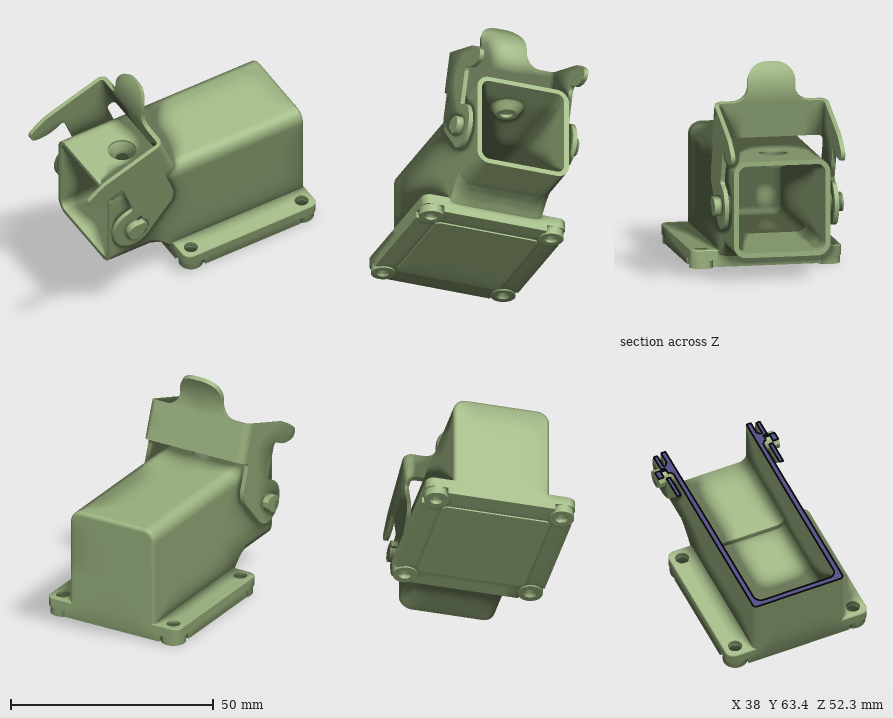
import cadquery as cq
import math

FLANGE_SIDE = 38.0
FLANGE_TOP = 4.7
FLANGE_CORNER_RADIUS = 2.1
FLANGE_EDGE_CHAMFER = 0.2
HOLE_OFFSET = 15.9
HOLE_DIAMETER = 3.2
COUNTERBORE_DIAMETER = 3.5
COUNTERBORE_DEPTH = 1.25
PAD_RADIUS = FLANGE_SIDE / 2 - HOLE_OFFSET
PAD_HEIGHT = 2.0
RIM_SIDE = 27.25
RIM_HEIGHT = 0.4
RIM_CORNER_RADIUS = 1.25

BODY_WIDTH = 24.35
BODY_TOP = 30.0
BODY_RADIUS = 3.25
BODY_BACK = FLANGE_SIDE / 2
BACK_EDGE_RADIUS = 1.0
SNOUT_FRONT = -37.1
SNOUT_BOTTOM = 5.9
THROAT_FRONT = -25.0
THROAT_BACK = -FLANGE_SIDE / 2
THROAT_DROP = 2.85
THROAT_END_CORNER = 0.75
THROAT_STATIONS = 4
THROAT_OVERLAP = 0.65

MOUTH_WIDTH = 21.8
MOUTH_TOP = 28.85
MOUTH_BOTTOM = 7.1
MOUTH_RADIUS = 2.0
MOUTH_DRAFT_HEIGHT = 0.45
MOUTH_DRAFT_WIDTH = 0.1
CHAMBER_FRONT = -13.95
CHAMBER_BACK = 17.45
CHAMBER_BOTTOM = 6.2
CHAMBER_RADIUS = 1.9

SCREW_Y = -26.1
SCREW_BOTTOM = 26.7
SCREW_MOUTH_RADIUS = 3.55
SCREW_HOLE_RADIUS = 1.6
SCREW_RIM_DEPTH = 0.5
SCREW_CONE_BOTTOM = 27.4
SCREW_BOSS_TOP_RADIUS = 4.4
SCREW_BOSS_BOTTOM_RADIUS = 2.65

PIVOT_Y = -31.6
PIVOT_Z = 18.0
PIN_RADIUS = 2.2
PIN_END = 16.2
KEY_START = 14.7
KEY_REACH = 3.05
KEY_CHAMFER = 0.8
COLLAR_BASE_RADIUS = 3.05
COLLAR_RADIUS = 2.6
COLLAR_CONE_END = 12.8

LATCH_TILT = 20
LATCH_WIDTH = 28.8
STRAP = 1.1
LATCH_BEND_RADIUS = 2.0
LATCH_BACK = 16.7
LATCH_TOP = 20.15
LATCH_BAND_BOTTOM = 10.15
LATCH_EYE_RADIUS = 5.5
LATCH_SLOT_REACH = 3.3
LEG_FRONT = 2.2
LEG_BACK = 13.3
EYE_TANGENT_ANGLE = 298.3
FINGER_LIMIT = -7.6
FINGER_BROW_MID = (-2.15, 20.0)
FINGER_BROW_END = (-3.85, 19.5)
FINGER_TIP_TOP = (-6.6, 18.65)
FINGER_TIP = (-7.2, 17.55)
FINGER_TIP_BOTTOM = (-6.7, 16.0)
FINGER_BELLY = (-2.85, 14.8)
FINGER_ROOT = (0.4, 15.0)
ARMPIT_MID = (1.65, 15.0)
ARMPIT_END = (LEG_FRONT, 13.9)
CROOK_START = (LEG_FRONT, 6.35)
CROOK_MID = (1.95, 5.8)
CROOK_END = (1.3, LATCH_EYE_RADIUS)
HEEL_START = (11.35, -0.1)
HEEL_MID = (12.75, 1.4)
HEEL_END = (LEG_BACK, 3.35)
BAND_NOTCH_START = (LEG_BACK, 9.1)
BAND_NOTCH_MID = (13.55, 9.8)
BAND_NOTCH_END = (14.2, LATCH_BAND_BOTTOM)

TAB_WIDTH = 12.05
TAB_CORNER_RADIUS = 5.1
TAB_FLARE = 3.8
TAB_BEND_RADIUS = 11.1
TAB_SWEEP = 54.2


def box(x_size, y_min, y_max, z_min, z_max):
    """Box centred on X = 0 between the given Y and Z limits."""
    base = cq.Workplane("XY", origin=(0, y_min, z_min))
    return base.box(x_size, y_max - y_min, z_max - z_min, centered=(True, False, False))


def four_corners(offset, z=0):
    """Workplane with a point at X, Y = +-offset in each quadrant, at height z."""
    base = cq.Workplane("XY", origin=(0, 0, z))
    return base.rect(2 * offset, 2 * offset, forConstruction=True).vertices()


def make_flange():
    plate = box(FLANGE_SIDE, -FLANGE_SIDE / 2, FLANGE_SIDE / 2, RIM_HEIGHT, FLANGE_TOP)
    plate = plate.edges("|Z").fillet(FLANGE_CORNER_RADIUS).faces(">Z").chamfer(FLANGE_EDGE_CHAMFER)
    notch_side = (FLANGE_SIDE - RIM_SIDE) / 2
    notch_offset = (FLANGE_SIDE + RIM_SIDE) / 4
    notches = four_corners(notch_offset).rect(notch_side, notch_side).extrude(PAD_HEIGHT)
    pads = four_corners(HOLE_OFFSET).circle(PAD_RADIUS).extrude(PAD_HEIGHT)
    rim = box(RIM_SIDE, -RIM_SIDE / 2, RIM_SIDE / 2, 0, RIM_HEIGHT).edges("|Z").fillet(RIM_CORNER_RADIUS)
    return plate.cut(notches).union(pads).union(rim)


def make_mounting_holes():
    holes = four_corners(HOLE_OFFSET).circle(HOLE_DIAMETER / 2).extrude(FLANGE_TOP)
    counterbores = four_corners(HOLE_OFFSET, FLANGE_TOP - COUNTERBORE_DEPTH)
    return holes.union(counterbores.circle(COUNTERBORE_DIAMETER / 2).extrude(COUNTERBORE_DEPTH))


def make_throat():
    """Curved underside between snout and flange, its corner rounding fading toward the flange."""
    length = THROAT_BACK - THROAT_FRONT
    arc_radius = (length**2 + THROAT_DROP**2) / (2 * THROAT_DROP)
    half = BODY_WIDTH / 2
    ceiling = SNOUT_BOTTOM + BODY_RADIUS + THROAT_OVERLAP
    wires = []
    for station in range(THROAT_STATIONS):
        fraction = station / (THROAT_STATIONS - 1)
        run = fraction * length
        bottom = SNOUT_BOTTOM - arc_radius + math.sqrt(arc_radius**2 - run**2)
        fade = math.sin(fraction * math.pi / 2)
        corner = BODY_RADIUS + fade * (THROAT_END_CORNER - BODY_RADIUS)
        plane = cq.Plane(origin=(0, THROAT_FRONT + run, 0), xDir=(1, 0, 0), normal=(0, -1, 0))
        section = (
            cq.Workplane(plane)
            .moveTo(half, ceiling)
            .lineTo(-half, ceiling)
            .lineTo(-half, bottom + corner)
            .ellipseArc(BODY_RADIUS, corner, 180, 270)
            .lineTo(half - BODY_RADIUS, bottom)
            .ellipseArc(BODY_RADIUS, corner, 270, 360)
            .close()
        )
        wires.append(section.val())
    return cq.Workplane("XY").add(cq.Solid.makeLoft(wires))


def make_body():
    snout = box(BODY_WIDTH, SNOUT_FRONT, THROAT_FRONT, SNOUT_BOTTOM, BODY_TOP).edges("|Y").fillet(BODY_RADIUS)
    roof_base = SNOUT_BOTTOM + BODY_RADIUS
    middle = box(BODY_WIDTH, THROAT_FRONT, THROAT_BACK, roof_base, BODY_TOP)
    middle = middle.edges("|Y and >Z").fillet(BODY_RADIUS)
    rear = box(BODY_WIDTH, THROAT_BACK, BODY_BACK, RIM_HEIGHT, BODY_TOP)
    rear = rear.edges("|Y and >Z").fillet(BODY_RADIUS)
    rear = rear.faces(">Y").edges("not <Z").fillet(BACK_EDGE_RADIUS)
    return snout.union(middle).union(make_throat()).union(rear)


def make_cavity():
    chamber_width = MOUTH_WIDTH - 2 * MOUTH_DRAFT_WIDTH
    chamber_top = MOUTH_TOP - MOUTH_DRAFT_HEIGHT
    mouth_plane = cq.Plane(
        origin=(0, SNOUT_FRONT, (MOUTH_TOP + MOUTH_BOTTOM) / 2), xDir=(-1, 0, 0), normal=(0, 1, 0)
    )
    height = MOUTH_TOP - MOUTH_BOTTOM
    mouth = (
        cq.Workplane(mouth_plane)
        .rect(MOUTH_WIDTH, height)
        .workplane(offset=CHAMBER_FRONT + CHAMBER_RADIUS - SNOUT_FRONT)
        .rect(chamber_width, height - 2 * MOUTH_DRAFT_HEIGHT)
        .loft()
    )
    mouth = mouth.edges("not(|X or |Z)").fillet(MOUTH_RADIUS)
    chamber = box(chamber_width, CHAMBER_FRONT, CHAMBER_BACK, CHAMBER_BOTTOM, chamber_top)
    chamber = chamber.edges("|Y or >Y").fillet(CHAMBER_RADIUS)
    return mouth.union(chamber)


def make_screw_boss():
    return (
        cq.Workplane("XY", origin=(0, SCREW_Y, SCREW_BOTTOM))
        .circle(SCREW_BOSS_BOTTOM_RADIUS)
        .workplane(offset=MOUTH_TOP - SCREW_BOTTOM)
        .circle(SCREW_BOSS_TOP_RADIUS)
        .loft()
    )


def make_screw_recess():
    profile = [
        (0, BODY_TOP),
        (SCREW_MOUTH_RADIUS, BODY_TOP),
        (SCREW_MOUTH_RADIUS, BODY_TOP - SCREW_RIM_DEPTH),
        (SCREW_HOLE_RADIUS, SCREW_CONE_BOTTOM),
        (SCREW_HOLE_RADIUS, SCREW_BOTTOM),
        (0, SCREW_BOTTOM),
    ]
    return cq.Workplane("XZ").polyline(profile).close().revolve(360, (0, 0), (0, 1)).translate((0, SCREW_Y, 0))


def make_pin():
    """Pivot pin on the +X side: conical collar, shank and keyed end."""
    wall = BODY_WIDTH / 2
    leg_inside = LATCH_WIDTH / 2 - STRAP
    profile = [
        (0, wall),
        (COLLAR_BASE_RADIUS, wall),
        (COLLAR_RADIUS, COLLAR_CONE_END),
        (COLLAR_RADIUS, leg_inside),
        (PIN_RADIUS, leg_inside),
        (PIN_RADIUS, PIN_END),
        (0, PIN_END),
    ]
    shank = cq.Workplane("YX").polyline(profile).close().revolve(360, (0, 0), (0, 1))
    key = (
        cq.Workplane("YZ", origin=(KEY_START, 0, 0))
        .rect(KEY_REACH, PIN_RADIUS, centered=False)
        .extrude(PIN_END - KEY_START)
        .edges("|X and >Y and >Z")
        .chamfer(KEY_CHAMFER)
    )
    return shank.union(key).translate((0, PIVOT_Y, PIVOT_Z))


def latch_outline():
    """Side outline of the untilted latch, with the pivot axis at the origin."""
    tangent = math.radians(EYE_TANGENT_ANGLE)
    eye_tangent = (LATCH_EYE_RADIUS * math.cos(tangent), LATCH_EYE_RADIUS * math.sin(tangent))
    return (
        cq.Workplane("YZ")
        .moveTo(LATCH_BACK, LATCH_TOP)
        .lineTo(0, LATCH_TOP)
        .threePointArc(FINGER_BROW_MID, FINGER_BROW_END)
        .lineTo(*FINGER_TIP_TOP)
        .threePointArc(FINGER_TIP, FINGER_TIP_BOTTOM)
        .threePointArc(FINGER_BELLY, FINGER_ROOT)
        .threePointArc(ARMPIT_MID, ARMPIT_END)
        .lineTo(*CROOK_START)
        .threePointArc(CROOK_MID, CROOK_END)
        .lineTo(0, LATCH_EYE_RADIUS)
        .threePointArc((-LATCH_EYE_RADIUS, 0), eye_tangent)
        .lineTo(*HEEL_START)
        .threePointArc(HEEL_MID, HEEL_END)
        .lineTo(*BAND_NOTCH_START)
        .threePointArc(BAND_NOTCH_MID, BAND_NOTCH_END)
        .lineTo(LATCH_BACK, LATCH_BAND_BOTTOM)
        .close()
    )


def place_latch(shape):
    """Tilt a shape built around the pivot axis and move it to the pivot."""
    return shape.rotate((0, 0, 0), (1, 0, 0), LATCH_TILT).translate((0, PIVOT_Y, PIVOT_Z))


def make_strap():
    bottom = -LATCH_EYE_RADIUS
    outer = box(LATCH_WIDTH, FINGER_LIMIT, LATCH_BACK, bottom, LATCH_TOP)
    outer = outer.edges("|Z and >Y").fillet(LATCH_BEND_RADIUS)
    inner = box(LATCH_WIDTH - 2 * STRAP, FINGER_LIMIT, LATCH_BACK - STRAP, bottom, LATCH_TOP)
    inner = inner.edges("|Z and >Y").fillet(LATCH_BEND_RADIUS - STRAP)
    channel = outer.cut(inner)
    pin_hole = cq.Workplane("YZ").circle(PIN_RADIUS).extrude(LATCH_WIDTH / 2, both=True)
    key_hole = box(LATCH_WIDTH, 0, LATCH_SLOT_REACH, 0, PIN_RADIUS)
    strap = latch_outline().extrude(LATCH_WIDTH / 2, both=True).intersect(channel)
    return place_latch(strap.cut(pin_hole).cut(key_hole))


def bend_point(radius, angle):
    """Point (Y, Z) on the tab bend, the angle in degrees measured from the top of the band."""
    turn = math.radians(angle)
    centre_y = LATCH_BACK - STRAP + TAB_BEND_RADIUS
    return (centre_y - radius * math.cos(turn), LATCH_TOP + radius * math.sin(turn))


def make_curl(width):
    """Strip of strap material curling back from the top of the band."""
    inner_radius = TAB_BEND_RADIUS - STRAP
    return (
        cq.Workplane("YZ", origin=(-width / 2, 0, 0))
        .moveTo(*bend_point(TAB_BEND_RADIUS, 0))
        .threePointArc(bend_point(TAB_BEND_RADIUS, TAB_SWEEP / 2), bend_point(TAB_BEND_RADIUS, TAB_SWEEP))
        .lineTo(*bend_point(inner_radius, TAB_SWEEP))
        .threePointArc(bend_point(inner_radius, TAB_SWEEP / 2), bend_point(inner_radius, 0))
        .close()
        .extrude(width)
    )


def make_tab():
    """Thumb tab: rounded end and flared roots where it leaves the band."""
    half = TAB_WIDTH / 2
    root_half = half + TAB_FLARE
    flare_top = LATCH_TOP + TAB_FLARE
    flare_outline = (
        cq.Workplane("XZ")
        .moveTo(-root_half, LATCH_TOP)
        .radiusArc((-half, flare_top), -TAB_FLARE)
        .lineTo(half, flare_top)
        .radiusArc((root_half, LATCH_TOP), -TAB_FLARE)
        .close()
        .extrude(-2 * LATCH_BACK)
    )
    reach = TAB_BEND_RADIUS
    trim = box(TAB_WIDTH, -reach, reach, -reach, 0).edges("|Y and >Z").fillet(TAB_CORNER_RADIUS)
    trim = trim.rotate((0, 0, 0), (1, 0, 0), -TAB_SWEEP).translate((0, *bend_point(TAB_BEND_RADIUS, TAB_SWEEP)))
    tongue = make_curl(TAB_WIDTH).intersect(trim)
    roots = make_curl(2 * root_half).intersect(flare_outline)
    return place_latch(tongue.union(roots))


shell = make_flange().union(make_body()).cut(make_mounting_holes()).cut(make_cavity())
hood = shell.union(make_screw_boss()).cut(make_screw_recess())
pin = make_pin()
latch = make_strap().union(make_tab())
result = hood.union(pin).union(pin.mirror("YZ")).union(latch)